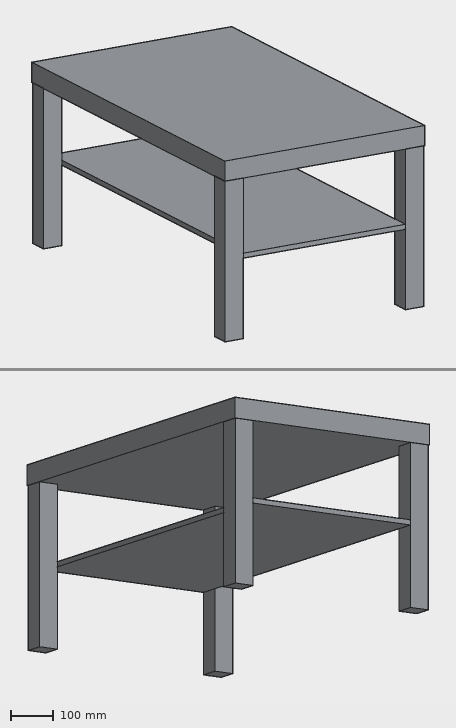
import cadquery as cq

length = 900.0
depth = 550.0
height = 450.0

top_thickness = 50.0
leg_width = 50.0
leg_setback = 2.0

shelf_thickness = 13.0
shelf_underside = 200.0

leg_height = height - top_thickness
leg_center_x = (length - leg_width) / 2 - leg_setback
leg_center_y = (depth - leg_width) / 2 - leg_setback
shelf_length = 2 * leg_center_x + leg_width
shelf_depth = 2 * leg_center_y - leg_width


def standing_box(size_x, size_y, size_z, center_x=0, center_y=0, bottom=0):
    """A block centred in X and Y on the given point, with its underside at bottom."""
    block = cq.Workplane("XY").box(size_x, size_y, size_z, centered=(True, True, False))
    return block.translate((center_x, center_y, bottom))


def make_table_frame():
    """The tabletop and its four legs, one solid."""
    frame = standing_box(length, depth, top_thickness, bottom=leg_height)
    for side_x in (-1, 1):
        for side_y in (-1, 1):
            leg = standing_box(leg_width, leg_width, leg_height, side_x * leg_center_x, side_y * leg_center_y)
            frame = frame.union(leg)
    return frame


def make_shelf():
    """A board fitted between the front and rear legs, its ends flush with their outer faces."""
    return standing_box(shelf_length, shelf_depth, shelf_thickness, bottom=shelf_underside)


table_frame = make_table_frame()
shelf = make_shelf()

result = cq.Compound.makeCompound([table_frame.solids().val(), shelf.val()])